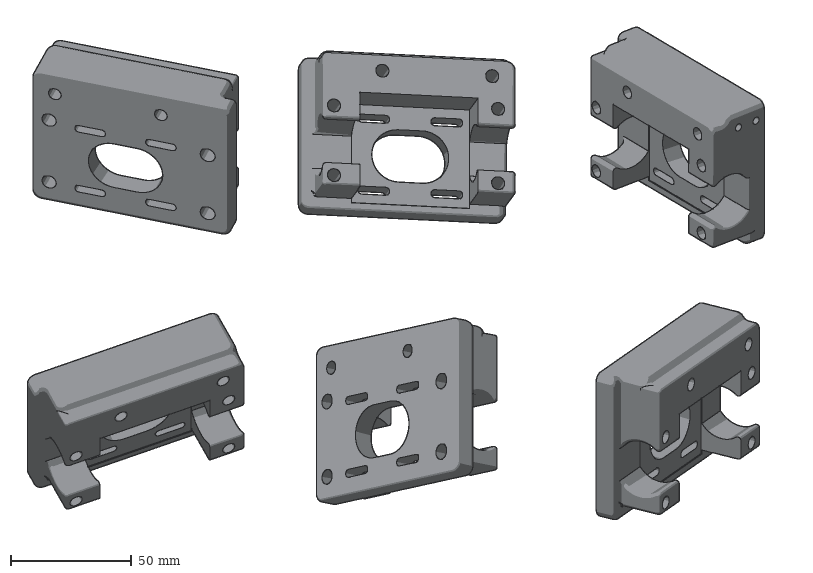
import cadquery as cq
import math

LENGTH = 87.0
DEPTH = 28.5
HEIGHT = 66.0
PLATE_THICKNESS = 9.5
LIP = 5.5
BODY_LENGTH = LENGTH - LIP

CORNER_RADIUS = 4.0
EDGE_RADIUS = 1.5

STEP_DROP = 3.0
STEP_CONCAVE_RADIUS = 3.0
STEP_END_Y = 24.0
STEP_TOP = HEIGHT - STEP_DROP

MOTOR_X = 41.0
MOTOR_Z = 25.0
MOTOR_PITCH = 31.0
SLOT_TRAVEL = 10.0
SCREW_SLOT_WIDTH = 3.4
PILOT_SLOT_WIDTH = 22.5

POCKET_FLOOR_Y = 9.0
POCKET_LENGTH = 50.0
POCKET_HEIGHT = 42.5

CHANNEL_RADIUS = 12.0
CHANNEL_Y = (PLATE_THICKNESS + DEPTH) / 2
FLARE_OVERLAP = 0.01

HOLE_DIAMETER = 5.5
PLAIN_HOLES = [(10.0, 56.0), (56.5, 56.0)]
TAPERED_HOLES = [(7.5, 42.0), (7.5, 10.0)]
TAPER_MOUTH_DIAMETER = 6.2
COUNTERBORED_HOLES = [(77.0, 40.0), (77.0, 10.0)]
COUNTERBORE_DIAMETER = 6.5
COUNTERBORE_DEPTH = PLATE_THICKNESS

SIDE_HOLE_DIAMETER = 3.2
SIDE_HOLE_DEPTH = 5.0
SIDE_HOLE_Z = 58.5
SIDE_HOLE_YS = [5.3, 14.7]


def box(x0, x1, y0, y1, z0, z1):
    """Axis-aligned box between the given limits."""
    return cq.Workplane("XY").box(x1 - x0, y1 - y0, z1 - z0, centered=False).translate((x0, y0, z0))


def fillet_at(part, radius, *points):
    """Fillet the edges that pass through the given points."""
    edges = part.edges().vals()
    chosen = []
    for point in points:
        spot = cq.Vertex.makeVertex(*point)
        chosen.append(min(edges, key=lambda edge: edge.distance(spot)))
    return cq.Workplane(part.val().fillet(radius, chosen))


def stepped_body():
    """Body whose top drops to the rear strip through a convex and a concave arc."""
    span = CORNER_RADIUS + STEP_CONCAVE_RADIUS
    blend_angle = math.acos((span - STEP_DROP) / span)
    start_y = STEP_END_Y - span * math.sin(blend_angle)

    def convex(angle):
        return (start_y + CORNER_RADIUS * math.sin(angle),
                HEIGHT - CORNER_RADIUS * (1 - math.cos(angle)))

    def concave(angle):
        return (STEP_END_Y - STEP_CONCAVE_RADIUS * math.sin(angle),
                STEP_TOP + STEP_CONCAVE_RADIUS * (1 - math.cos(angle)))

    return (
        cq.Workplane("YZ")
        .moveTo(0, LIP)
        .lineTo(DEPTH, LIP)
        .lineTo(DEPTH, STEP_TOP)
        .lineTo(STEP_END_Y, STEP_TOP)
        .threePointArc(concave(blend_angle / 2), concave(blend_angle))
        .threePointArc(convex(blend_angle / 2), (start_y, HEIGHT))
        .lineTo(0, HEIGHT)
        .close()
        .extrude(BODY_LENGTH)
    )


def rounded_block():
    """Plate and body joined, with the large corner rounds."""
    plate = box(0, LENGTH, 0, PLATE_THICKNESS, 0, HEIGHT)
    block = stepped_body().union(plate).clean()
    mid_z = HEIGHT / 2
    plate_mid_y = PLATE_THICKNESS / 2
    block = fillet_at(block, EDGE_RADIUS, (BODY_LENGTH, PLATE_THICKNESS, mid_z))
    block = fillet_at(
        block, CORNER_RADIUS,
        (0, plate_mid_y, HEIGHT),
        (LENGTH, plate_mid_y, HEIGHT),
        (BODY_LENGTH, CHANNEL_Y - EDGE_RADIUS, HEIGHT),
        (0, plate_mid_y, 0),
        (LENGTH, plate_mid_y, 0),
        (0, PLATE_THICKNESS, LIP / 2),
    )
    strip = box(0, BODY_LENGTH, CHANNEL_Y, DEPTH, mid_z, STEP_TOP)
    strip = fillet_at(strip, CORNER_RADIUS, (0, CHANNEL_Y + 1, STEP_TOP))
    strip = fillet_at(strip, EDGE_RADIUS, (BODY_LENGTH, CHANNEL_Y + 1, STEP_TOP))
    return block.union(strip).clean()


def channel():
    """Round channel along the full length, with a flat floor and an open rear."""
    bore = cq.Workplane("YZ").center(CHANNEL_Y, MOTOR_Z).circle(CHANNEL_RADIUS).extrude(LENGTH)
    return bore.intersect(box(0, LENGTH, PLATE_THICKNESS, DEPTH, 0, HEIGHT))


def floor_flare():
    """Rounded lead-in where the channel floor meets the left face."""
    axis_start = (0, CHANNEL_Y, 0)
    axis_end = (1, CHANNEL_Y, 0)
    quarter = EDGE_RADIUS * (1 - math.sqrt(0.5))
    floor_y = PLATE_THICKNESS

    def flare_outline(inner_y, lip_y):
        return (
            cq.Workplane("XY")
            .moveTo(0, inner_y)
            .lineTo(0, lip_y - EDGE_RADIUS)
            .threePointArc((quarter, lip_y - quarter), (EDGE_RADIUS, lip_y))
            .lineTo(EDGE_RADIUS, inner_y)
            .close()
        )

    disc = flare_outline(CHANNEL_Y, CHANNEL_Y - CHANNEL_RADIUS).revolve(360, axis_start, axis_end)
    wedge = flare_outline(floor_y + FLARE_OVERLAP, floor_y).extrude(CHANNEL_RADIUS, both=True)
    return disc.intersect(wedge).translate((0, 0, MOTOR_Z))


def round_edges(part):
    """Small round on the outer edges of the plate and body and on the channel edges."""
    mid_x = LENGTH / 2
    mouth_half = math.sqrt(CHANNEL_RADIUS**2 - (DEPTH - CHANNEL_Y) ** 2)
    above_channel = MOTOR_Z + CHANNEL_RADIUS + EDGE_RADIUS
    below_channel = MOTOR_Z - CHANNEL_RADIUS - EDGE_RADIUS

    plate_edges = [(LENGTH, PLATE_THICKNESS, HEIGHT / 2), (mid_x, PLATE_THICKNESS, 0)]
    part = fillet_at(part, EDGE_RADIUS, (mid_x, 0, 0))
    part = fillet_at(part, EDGE_RADIUS, *plate_edges)

    part = part.cut(channel()).clean()
    body_edges = [(mid_x, DEPTH, STEP_TOP), (mid_x, DEPTH, LIP)]
    for z in (MOTOR_Z - mouth_half, MOTOR_Z + mouth_half):
        body_edges.append((mid_x, DEPTH, z))
    for x in (0, BODY_LENGTH):
        body_edges.append((x, DEPTH, above_channel))
        body_edges.append((x, DEPTH, below_channel))
        body_edges.append((x, CHANNEL_Y, LIP))
        body_edges.append((x, CHANNEL_Y, MOTOR_Z + CHANNEL_RADIUS))
        body_edges.append((x, CHANNEL_Y, MOTOR_Z - CHANNEL_RADIUS))
    part = fillet_at(part, EDGE_RADIUS, *body_edges)
    return part.cut(floor_flare())


def cut_motor_pocket(part):
    """Rectangular motor clearance that interrupts the channel."""
    x0 = MOTOR_X - POCKET_LENGTH / 2
    x1 = MOTOR_X + POCKET_LENGTH / 2
    z0 = MOTOR_Z - POCKET_HEIGHT / 2
    z1 = MOTOR_Z + POCKET_HEIGHT / 2
    return part.cut(box(x0, x1, POCKET_FLOOR_Y, DEPTH, z0, z1))


def bore_y(x, z, diameter, depth):
    """Cylinder entering the front face along +Y."""
    return cq.Workplane("XZ", origin=(x, 0, z)).circle(diameter / 2).extrude(-depth)


def tapered_bore(x, z):
    """Through bore narrowing evenly from the front face to the rear."""
    return (
        cq.Workplane("XZ", origin=(x, 0, z))
        .circle(TAPER_MOUTH_DIAMETER / 2)
        .workplane(offset=-DEPTH)
        .circle(HOLE_DIAMETER / 2)
        .loft(ruled=True)
    )


def slot_y(x, z, width):
    """Through slot along Y, elongated in X by the motor's adjustment travel."""
    return (
        cq.Workplane("XZ", origin=(x, 0, z))
        .slot2D(width + SLOT_TRAVEL, width)
        .extrude(-DEPTH)
    )


def cut_motor_slots(part):
    """Pilot slot and the four screw slots around it."""
    part = part.cut(slot_y(MOTOR_X, MOTOR_Z, PILOT_SLOT_WIDTH))
    for side_x in (-1, 1):
        for side_z in (-1, 1):
            x = MOTOR_X + side_x * MOTOR_PITCH / 2
            z = MOTOR_Z + side_z * MOTOR_PITCH / 2
            part = part.cut(slot_y(x, z, SCREW_SLOT_WIDTH))
    return part


def cut_mounting_holes(part):
    """Plain, tapered and counterbored through holes along Y."""
    for x, z in PLAIN_HOLES:
        part = part.cut(bore_y(x, z, HOLE_DIAMETER, DEPTH))
    for x, z in TAPERED_HOLES:
        part = part.cut(tapered_bore(x, z))
    for x, z in COUNTERBORED_HOLES:
        part = part.cut(bore_y(x, z, HOLE_DIAMETER, DEPTH))
        part = part.cut(bore_y(x, z, COUNTERBORE_DIAMETER, COUNTERBORE_DEPTH))
    return part


def cut_side_holes(part):
    """Blind holes in the left face, along X."""
    for y in SIDE_HOLE_YS:
        hole = (
            cq.Workplane("YZ", origin=(0, y, SIDE_HOLE_Z))
            .circle(SIDE_HOLE_DIAMETER / 2)
            .extrude(SIDE_HOLE_DEPTH)
        )
        part = part.cut(hole)
    return part


housing = round_edges(rounded_block())
housing = cut_motor_pocket(housing)
housing = cut_motor_slots(housing)
housing = cut_mounting_holes(housing)
result = cut_side_holes(housing)